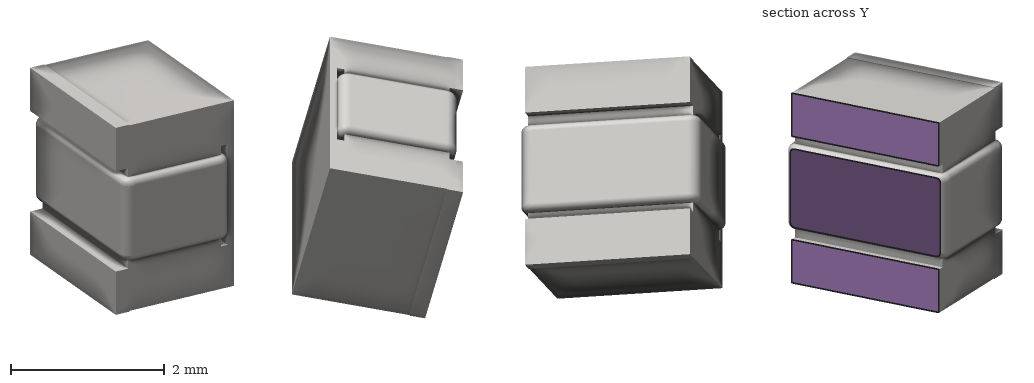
import cadquery as cq

HEIGHT = 2.67
DEPTH = 1.78
FRONT_Y = -DEPTH / 2
BACK_Y = DEPTH / 2

CORE_WIDTH = 2.21
NECK_DEPTH = 1.4
NECK_CENTER_Y = -0.005
NECK_LENGTH = 1.435
FOOT_DEPTH = 0.21
FOOT_RAISE = 0.01
BODY_HEIGHT = HEIGHT - 2 * FOOT_RAISE

PLATE_SKIN = 0.025
PLATE_THICKNESS = 0.093

WINDING_WIDTH = 2.41
WINDING_DEPTH = 1.605
WINDING_HEIGHT = 1.18
WINDING_CORNER_RADIUS = 0.15
WINDING_RIM_RADIUS = 0.093
WINDING_CENTER_Y = BACK_Y - PLATE_THICKNESS - WINDING_DEPTH / 2


def block(width, front_y, back_y, height):
    """Box centred on X and Z that spans the given Y range."""
    center_y = (front_y + back_y) / 2
    return cq.Workplane("XY").box(width, back_y - front_y, height).translate((0, center_y, 0))


def neck_block(height):
    """Rectangular neck section, also used for the hole in the winding."""
    front_y = NECK_CENTER_Y - NECK_DEPTH / 2
    return block(CORE_WIDTH, front_y, front_y + NECK_DEPTH, height)


def make_core():
    body = block(CORE_WIDTH, FRONT_Y, BACK_Y - PLATE_SKIN, BODY_HEIGHT)
    feet = block(CORE_WIDTH, FRONT_Y, FRONT_Y + FOOT_DEPTH, HEIGHT)
    winding_space = block(CORE_WIDTH, FRONT_Y, BACK_Y, NECK_LENGTH)
    return body.union(feet).cut(winding_space).union(neck_block(NECK_LENGTH))


def make_cover_plate():
    skin = block(CORE_WIDTH, BACK_Y - PLATE_SKIN, BACK_Y, BODY_HEIGHT)
    thick_middle = block(CORE_WIDTH, BACK_Y - PLATE_THICKNESS, BACK_Y, NECK_LENGTH)
    return skin.union(thick_middle)


def make_winding():
    outer = (
        cq.Workplane("XY")
        .box(WINDING_WIDTH, WINDING_DEPTH, WINDING_HEIGHT)
        .edges("|Z")
        .fillet(WINDING_CORNER_RADIUS)
        .faces("<Z or >Z")
        .edges()
        .fillet(WINDING_RIM_RADIUS)
        .translate((0, WINDING_CENTER_Y, 0))
    )
    return outer.cut(neck_block(WINDING_HEIGHT))


core = make_core()
cover_plate = make_cover_plate()
winding = make_winding()

bodies = [core, cover_plate, winding]
result = cq.Compound.makeCompound([body.solids().val() for body in bodies])